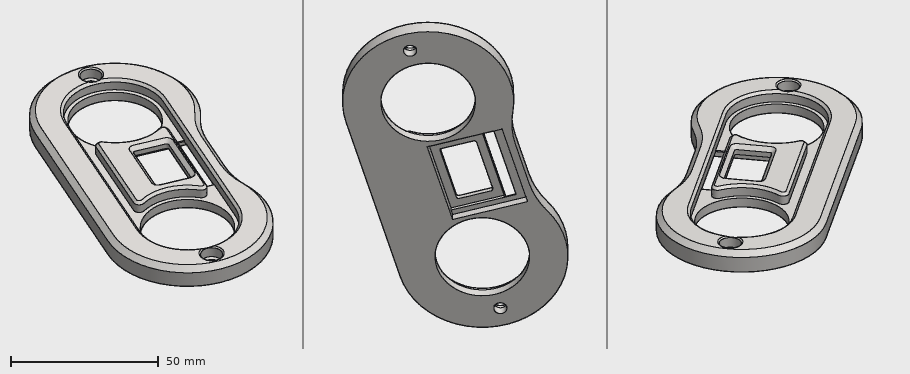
import cadquery as cq
import math

thickness = 7.7
lobe_radius = 29.0
lobe_offset = 33.0
outer_chamfer = 2.0

waist_y = 23.6
waist_radius = 30.0

floor_height = 3.5
recess_radius = 17.5
edge_chamfer = 1.0

large_hole_diameter = 32.0

island_half_width = 13.3
island_corner_radius = 2.0

window_length = 21.3
window_width = 12.8
window_center_y = 3.95
window_corner_radius = 0.8
window_chamfer = 1.5

display_pocket_length = 27.2
display_pocket_height = 4.3
display_pocket_max_y = recess_radius
board_pocket_length = 31.0
board_pocket_height = 3.0
board_pocket_max_y = 21.0
pocket_margin = (display_pocket_length - window_length) / 2
pocket_min_y = window_center_y - window_width / 2 - pocket_margin

screw_x = 55.0
screw_hole_diameter = 4.4
counterbore_diameter = 7.5
counterbore_chamfer = 0.5

lobe_centers = [(-lobe_offset, 0), (lobe_offset, 0)]
screw_centers = [(-screw_x, 0), (screw_x, 0)]


def make_body():
    """Solid two-lobed plate, waisted on the +Y side."""
    arc_center_y = waist_y + waist_radius
    center_distance = lobe_radius + waist_radius
    arc_center_x = lobe_offset - math.sqrt(center_distance**2 - arc_center_y**2)
    lobe_share = lobe_radius / center_distance
    tangent_x = lobe_offset + (arc_center_x - lobe_offset) * lobe_share
    tangent_y = arc_center_y * lobe_share

    start_angle = math.atan2(tangent_y - arc_center_y, tangent_x - arc_center_x)
    middle_angle = (start_angle - math.pi / 2) / 2
    middle_x = arc_center_x + waist_radius * math.cos(middle_angle)
    middle_y = arc_center_y + waist_radius * math.sin(middle_angle)

    end_x = lobe_offset + lobe_radius
    outline = (
        cq.Workplane("XY")
        .moveTo(-lobe_offset, -lobe_radius)
        .lineTo(lobe_offset, -lobe_radius)
        .threePointArc((end_x, 0), (tangent_x, tangent_y))
        .threePointArc((middle_x, middle_y), (arc_center_x, waist_y))
        .lineTo(-arc_center_x, waist_y)
        .threePointArc((-middle_x, middle_y), (-tangent_x, tangent_y))
        .threePointArc((-end_x, 0), (-lobe_offset, -lobe_radius))
        .close()
    )
    return outline.extrude(thickness).faces(">Z").edges().chamfer(outer_chamfer)


def make_flare(opening, size):
    """45-degree flare around the top outline of an opening that ends at the top face."""
    outline = opening.faces(">Z").wires().val().translate(cq.Vector(0, 0, -size))
    return cq.Workplane("XY").add(outline).toPending().extrude(size, taper=-45)


def make_recess():
    """Stadium-shaped recess down to the web, flared at its top edge."""
    recess = (
        cq.Workplane("XY")
        .workplane(offset=floor_height)
        .slot2D(2 * (lobe_offset + recess_radius), 2 * recess_radius)
        .extrude(thickness - floor_height)
    )
    return recess.union(make_flare(recess, edge_chamfer))


def make_island():
    """Raised block between the large holes, hollowed by concentric arcs."""
    block = (
        cq.Workplane("XY")
        .workplane(offset=floor_height)
        .rect(2 * lobe_offset, 2 * island_half_width)
        .extrude(thickness - floor_height)
    )
    hollows = (
        cq.Workplane("XY")
        .pushPoints(lobe_centers)
        .circle(recess_radius)
        .extrude(thickness)
    )
    block = block.cut(hollows).solids(cq.selectors.NearestToPointSelector((0, 0, thickness)))
    block = cq.Workplane(block.val()).edges("|Z").fillet(island_corner_radius)
    return block.faces(">Z").edges().chamfer(edge_chamfer)


def make_large_holes():
    """Through holes in both lobes."""
    return (
        cq.Workplane("XY")
        .pushPoints(lobe_centers)
        .circle(large_hole_diameter / 2)
        .extrude(thickness)
    )


def make_window():
    """Rectangular opening through the island, flared at the top."""
    opening = (
        cq.Workplane("XY")
        .center(0, window_center_y)
        .rect(window_length, window_width)
        .extrude(thickness)
        .edges("|Z")
        .fillet(window_corner_radius)
    )
    return opening.union(make_flare(opening, window_chamfer))


def make_pocket_tier(length, max_y, height):
    """One rectangular tier of the underside pocket, centred on X = 0."""
    width = max_y - pocket_min_y
    return (
        cq.Workplane("XY")
        .center(0, pocket_min_y + width / 2)
        .rect(length, width)
        .extrude(height)
    )


def make_underside_pocket():
    """Two-tier pocket below the window; its upper tier breaks through the web behind the island."""
    upper_tier = make_pocket_tier(display_pocket_length, display_pocket_max_y, display_pocket_height)
    lower_tier = make_pocket_tier(board_pocket_length, board_pocket_max_y, board_pocket_height)
    return upper_tier.union(lower_tier)


def make_screw_holes():
    """Counterbored screw holes at the plate ends, with chamfered mouths."""
    bore_radius = counterbore_diameter / 2
    profile = (
        cq.Workplane("XZ")
        .moveTo(0, 0)
        .lineTo(screw_hole_diameter / 2, 0)
        .lineTo(screw_hole_diameter / 2, floor_height)
        .lineTo(bore_radius, floor_height)
        .lineTo(bore_radius, thickness - counterbore_chamfer)
        .lineTo(bore_radius + counterbore_chamfer, thickness)
        .lineTo(0, thickness)
        .close()
    )
    hole = profile.revolve(360, (0, 0, 0), (0, 1, 0))
    return [hole.translate((x, y, 0)) for x, y in screw_centers]


result = (
    make_body()
    .cut(make_recess())
    .union(make_island())
    .cut(make_large_holes())
    .cut(make_underside_pocket())
    .cut(make_window())
)
for screw_hole in make_screw_holes():
    result = result.cut(screw_hole)